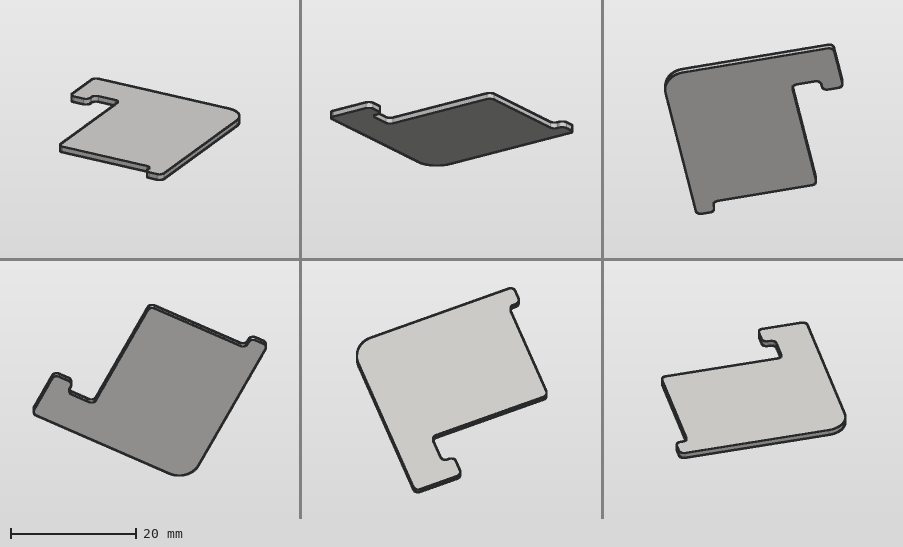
import cadquery as cq

side = 28.0
thickness = 1.0
hook_width = 3.33
hook_length = 8.0
arm_height = 6.0
body_left = 8.0
foot_width = 3.0
foot_height = 2.0
large_radius = 3.5
small_radius = 0.8

outline = [
    (0, side),
    (side, side),
    (side, 0),
    (side - foot_width, 0),
    (side - foot_width, foot_height),
    (body_left, foot_height),
    (body_left, side - arm_height),
    (hook_width, side - arm_height),
    (hook_width, side - hook_length),
    (0, side - hook_length),
]
plate = cq.Workplane("XY").polyline(outline).close().extrude(thickness)

large_corner = cq.selectors.NearestToPointSelector((side, side, thickness / 2))
plate = plate.edges("|Z").edges(large_corner).fillet(large_radius)

sharp_corners = [point for point in outline if point != (side, side)]
for x, y in sharp_corners:
    corner = cq.selectors.NearestToPointSelector((x, y, thickness / 2))
    plate = plate.edges("|Z").edges(corner).fillet(small_radius)

result = plate